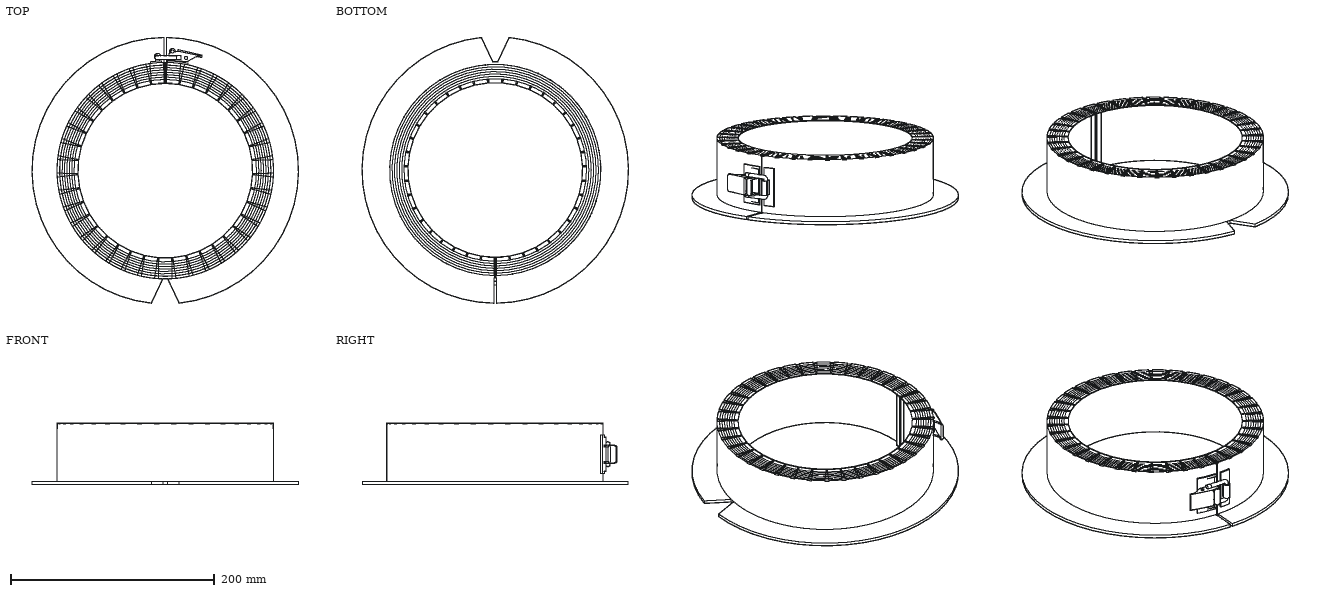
import cadquery as cq
import math

flange_radius = 131.3
flange_thickness = 3.2
flange_slit = 2.4
notch_inner_width = 4.7
notch_outer_width = 27.3
total_height = 60.7
wall_radius = 106.6

tab_count = 39
tab_width = 13.1
tab_tip_radius = 85.5
sheet = 0.8
tab_pitch = 360.0 / tab_count
wall_height = total_height - sheet

layer_count = 6
layer_thickness = 2.4
layer_bore_radius = 89.8
wall_bore_radius = layer_bore_radius + layer_count * layer_thickness

seam_gap = 0.8
seam_width = seam_gap + 2 * sheet
flap_reach = 6.8

latch_mid_z = 30.0
leaf_height = 38.3
leaf_thickness = 1.5
left_leaf_span = (-14.7, -3.7)
right_leaf_span = (2.0, 22.5)
leaf_radius = wall_radius + leaf_thickness

bail_diameter = 4.0
bail_tip_diameter = 4.2
bail_tip_length = 4.2
bail_spacing = 20.5
bail_bar_x = -8.1
bail_bend_radius = 3.0
bail_end_x = 15.5
bail_y = 111.5

hook_diameter = 6.3
hook_height = 14.5
hook_stem_width = 4.2
hook_x = -7.5
hook_y = 112.5
hook_mouth_y = 113.2
hook_mouth_gap = 0.5

mount_tilt = -11.5
mount_start = (2.4, 109.5)
mount_length = 18.5
mount_thickness = 1.0
mount_height = 34.0

lever_height = 17.9
lever_tilt = -13.0
lever_start = (12.5, 119.3)
lever_length = 24.5
lever_thickness = 2.4
lever_edge_radius = 2.0
cheek_thickness = 1.5
cheek_outline = [
    (3.7, 115.0),
    (4.7, 116.5),
    (12.5, 117.7),
    (35.5, 113.0),
    (29.5, 112.0),
    (21.8, 107.5),
    (3.7, 108.7),
]
knuckle_diameter = 5.8
knuckle_center = (7.0, 117.5)
knuckle_edge_radius = 2.0
knuckle_bore = 3.0
knuckle_mouth_gap = 1.0
knuckle_mouth_height = 13.1
pivot_diameter = 3.2
pivot_x = 20.5
pivot_y = 111.0
pin_overhang = 0.3


def tube(outer_radius, inner_radius, height):
    return cq.Workplane("XY").circle(outer_radius).circle(inner_radius).extrude(height)


def box_between(x_range, y_range, z_range):
    size = [high - low for low, high in (x_range, y_range, z_range)]
    corner = (x_range[0], y_range[0], z_range[0])
    return cq.Workplane("XY").box(*size, centered=False).translate(corner)


def seam_cutter(width):
    """Slot along +Y, cutting a ring open at the seam."""
    return box_between((-width / 2, width / 2), (0, flange_radius + 2.5), (-2.5, total_height + 2.5))


def upright_rod(center, diameter, height):
    """Rod along Z, centred on the middle height of the latch."""
    base = cq.Workplane("XY", origin=(0, 0, latch_mid_z - height / 2))
    return base.center(*center).circle(diameter / 2).extrude(height)


def upright_plate(length, thickness, height):
    """Upright plate along X, with its outer face starting at the origin."""
    return box_between((0, length), (-thickness, 0), (-height / 2, height / 2))


def tilt_in_place(plate, start, tilt):
    """Turn a plate about Z and move its origin to start, at the middle height of the latch."""
    return plate.rotate((0, 0, 0), (0, 0, 1), tilt).translate((*start, latch_mid_z))


def make_flange():
    flange = tube(flange_radius, wall_bore_radius, flange_thickness).cut(seam_cutter(flange_slit))
    outer_y = -math.sqrt(flange_radius**2 - (notch_outer_width / 2) ** 2)
    slope = (notch_outer_width - notch_inner_width) / (-outer_y - wall_radius)
    end_y = -flange_radius - 2.5
    end_width = notch_outer_width + slope * (outer_y - end_y)
    notch = (
        cq.Workplane("XY")
        .polyline([
            (-notch_inner_width / 2, -wall_radius),
            (notch_inner_width / 2, -wall_radius),
            (end_width / 2, end_y),
            (-end_width / 2, end_y),
        ])
        .close()
        .extrude(flange_thickness)
    )
    return flange.cut(notch)


def make_tab(index):
    """Flat rectangular tab with its outer end trimmed to the wall radius."""
    tab = box_between(
        (tab_tip_radius, wall_radius + 2.5),
        (-tab_width / 2, tab_width / 2),
        (wall_height, total_height),
    )
    rim = cq.Workplane("XY").circle(wall_radius).extrude(total_height)
    return tab.intersect(rim).rotate((0, 0, 0), (0, 0, 1), 90 + (index + 0.5) * tab_pitch)


def make_seam_plates():
    """L-shaped plates that close the layer ends on both sides of the seam."""
    overlap_y = (wall_bore_radius + wall_radius) / 2
    radial = box_between((seam_gap / 2, seam_width / 2), (tab_tip_radius, overlap_y), (0, wall_height))
    flap = box_between(
        (seam_gap / 2, flap_reach),
        (tab_tip_radius, tab_tip_radius + sheet),
        (0, wall_height),
    )
    plate = radial.union(flap)
    return plate.union(plate.mirror("YZ"))


def make_leaf(x_range):
    """Curved leaf lying on the outside of the wall."""
    low_z = latch_mid_z - leaf_height / 2
    band = tube(leaf_radius, wall_radius, leaf_height).translate((0, 0, low_z))
    return band.intersect(box_between(x_range, (0, flange_radius), (0, total_height)))


def make_hook():
    """Curl that grips the bail bar, joined to its leaf by a stem."""
    curl = upright_rod((hook_x, hook_y), hook_diameter, hook_height)
    stem = box_between(
        (hook_x - hook_stem_width / 2, hook_x + hook_stem_width / 2),
        (wall_radius, hook_y),
        (latch_mid_z - hook_height / 2, latch_mid_z + hook_height / 2),
    )
    stem = stem.cut(cq.Workplane("XY").circle(wall_radius).extrude(total_height))
    mouth = box_between(
        (hook_x - hook_diameter, hook_x),
        (hook_mouth_y, hook_mouth_y + hook_mouth_gap),
        (0, total_height),
    )
    return curl.cut(mouth).union(stem)


def make_bail():
    """U-shaped round rod around the hook, with a thicker tip on each leg."""
    low_z = latch_mid_z - bail_spacing / 2
    high_z = latch_mid_z + bail_spacing / 2
    bend_x = bail_bar_x + bail_bend_radius
    bend_offset = bail_bend_radius * (1 - math.sqrt(0.5))
    path = (
        cq.Workplane("XZ", origin=(0, bail_y, 0))
        .moveTo(bail_end_x, low_z)
        .lineTo(bend_x, low_z)
        .threePointArc(
            (bail_bar_x + bend_offset, low_z + bend_offset),
            (bail_bar_x, low_z + bail_bend_radius),
        )
        .lineTo(bail_bar_x, high_z - bail_bend_radius)
        .threePointArc((bail_bar_x + bend_offset, high_z - bend_offset), (bend_x, high_z))
        .lineTo(bail_end_x, high_z)
    )
    start_plane = cq.Workplane("YZ", origin=(bail_end_x, bail_y, low_z))
    bail = start_plane.circle(bail_diameter / 2).sweep(path)
    for z in (low_z, high_z):
        tip_plane = cq.Workplane("YZ", origin=(bail_end_x - bail_tip_length, bail_y, z))
        bail = bail.union(tip_plane.circle(bail_tip_diameter / 2).extrude(bail_tip_length))
    return bail


def make_lever():
    """Round-edged lever plate with two cheeks, a bored knuckle at its head and a pivot pin."""
    plate = upright_plate(lever_length, lever_thickness, lever_height)
    plate = plate.edges("|X and >Y").fillet(lever_edge_radius)
    lever = tilt_in_place(plate, lever_start, lever_tilt)
    for low_z in (-lever_height / 2, lever_height / 2 - cheek_thickness):
        base = cq.Workplane("XY", origin=(0, 0, latch_mid_z + low_z))
        lever = lever.union(base.polyline(cheek_outline).close().extrude(cheek_thickness))
    knuckle = upright_rod(knuckle_center, knuckle_diameter, lever_height).edges().fillet(knuckle_edge_radius)
    pivot = upright_rod((pivot_x, pivot_y), pivot_diameter, lever_height + 2 * pin_overhang)
    bore = upright_rod(knuckle_center, knuckle_bore, lever_height)
    center_x, center_y = knuckle_center
    mouth = box_between(
        (center_x - knuckle_diameter, center_x),
        (center_y, center_y + knuckle_mouth_gap),
        (latch_mid_z - knuckle_mouth_height / 2, latch_mid_z + knuckle_mouth_height / 2),
    )
    return lever.union(knuckle).union(pivot).cut(bore).cut(mouth)


def make_latch():
    mount = tilt_in_place(
        upright_plate(mount_length, mount_thickness, mount_height),
        mount_start,
        mount_tilt,
    )
    latch = make_leaf(left_leaf_span).union(make_hook()).union(make_bail())
    return latch.union(make_lever()).union(mount).union(make_leaf(right_leaf_span))


def make_shell():
    shell = tube(wall_radius, wall_bore_radius, wall_height).cut(seam_cutter(seam_gap))
    shell = shell.union(make_flange()).union(make_seam_plates())
    for index in range(tab_count):
        shell = shell.union(make_tab(index))
    return shell.union(make_latch())


def make_layer(index):
    """Split ring, counted from the innermost layer outwards."""
    inner_radius = layer_bore_radius + index * layer_thickness
    return tube(inner_radius + layer_thickness, inner_radius, wall_height).cut(seam_cutter(seam_width))


shell = make_shell()
layers = [make_layer(index) for index in range(layer_count)]
result = cq.Compound.makeCompound([shell.val(), *[layer.val() for layer in layers]])